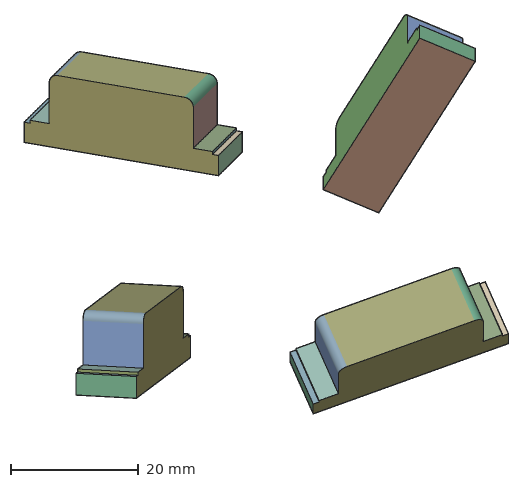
import cadquery as cq

length = 33.0
width = 9.8
height = 12.5

base_height = 3.5
step_length = 31.0
step_height = 4.0

body_length = 24.5
body_corner_radius = 1.5


def centred_block(block_length, block_height):
    """Full-width block standing on the bottom plane, centred in X and Y."""
    return cq.Workplane("XY").box(block_length, width, block_height, centered=(True, True, False))


base = centred_block(length, base_height)
step = centred_block(step_length, step_height)

body = centred_block(body_length, height).edges("|Y and >Z").fillet(body_corner_radius)

result = base.union(step).union(body)